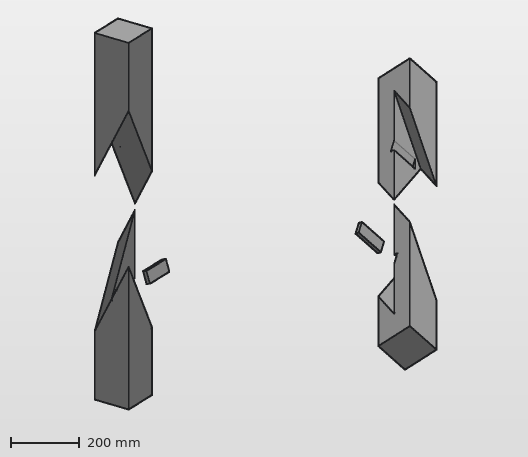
import cadquery as cq
import math

TOTAL_HEIGHT = 1180.0
POST_WIDTH = 120.0
POST_GAP = 20.0
SCARF_SLOPE = 2.0

KEY_DEPTH = 40.0
KEY_THICKNESS = 13.0
KEY_LENGTH = 100.0
SEAT_DEPTH = 94.0
KEY_CLEARANCE = 59.0

HALF_WIDTH = POST_WIDTH / 2
SCARF_REACH = SCARF_SLOPE * POST_WIDTH
POST_LENGTH = (TOTAL_HEIGHT - POST_GAP) / 2
LOWER_JOINT_Z = POST_LENGTH - SCARF_REACH
UPPER_JOINT_Z = TOTAL_HEIGHT - LOWER_JOINT_Z
KEY_TILT = math.degrees(math.atan2(KEY_THICKNESS, KEY_DEPTH))


def half_post(side, top_at_axis):
    """Half of the lower post on one side of X = 0, with its oblique top face.

    side is -1 or +1 along X. The left half rises toward +Y, the right half toward -Y.
    top_at_axis is the height of the top face at X = Y = 0.
    """
    column = (
        cq.Workplane("XY")
        .center(side * HALF_WIDTH / 2, 0)
        .rect(HALF_WIDTH, POST_WIDTH)
        .extrude(TOTAL_HEIGHT)
    )
    scarf_plane = cq.Plane(
        origin=(0, 0, top_at_axis),
        xDir=(1, 0, SCARF_SLOPE),
        normal=(-SCARF_SLOPE, side * SCARF_SLOPE, 1),
    )
    waste_size = 2 * TOTAL_HEIGHT
    waste = cq.Workplane(scarf_plane).rect(waste_size, waste_size).extrude(waste_size)
    return column.cut(waste)


def scarfed_post():
    """Lower post with its complete scarf, before the key seat is cut."""
    left_half = half_post(-1, LOWER_JOINT_Z + SCARF_REACH / 2)
    right_half = half_post(1, LOWER_JOINT_Z - SCARF_REACH / 2)
    return left_half.union(right_half)


def key_bar(y_start, length, center_z):
    """Tilted rectangular bar running along +Y from y_start."""
    return (
        cq.Workplane("XZ", origin=(0, y_start, center_z))
        .transformed(rotate=(0, 0, KEY_TILT))
        .rect(KEY_THICKNESS, KEY_DEPTH)
        .extrude(-length)
    )


def key_seat(center_z):
    """Cutter for the seat that takes the key from the back face of a post, blind at the front."""
    return key_bar(HALF_WIDTH - SEAT_DEPTH, SEAT_DEPTH, center_z)


def make_lower_post():
    return scarfed_post().cut(key_seat(LOWER_JOINT_Z))


def make_upper_post():
    """What the raised lower post leaves of a column is the mating upper post."""
    column_bottom = UPPER_JOINT_Z - SCARF_REACH
    column = (
        cq.Workplane("XY", origin=(0, 0, column_bottom))
        .rect(POST_WIDTH, POST_WIDTH)
        .extrude(TOTAL_HEIGHT - column_bottom)
    )
    mating_scarf = scarfed_post().translate((0, 0, UPPER_JOINT_Z - LOWER_JOINT_Z))
    return column.cut(mating_scarf).cut(key_seat(UPPER_JOINT_Z))


lower_post = make_lower_post()
upper_post = make_upper_post()
key = key_bar(HALF_WIDTH + KEY_CLEARANCE, KEY_LENGTH, LOWER_JOINT_Z)

result = cq.Compound.makeCompound([*lower_post.solids().vals(), *upper_post.solids().vals(), key.val()])